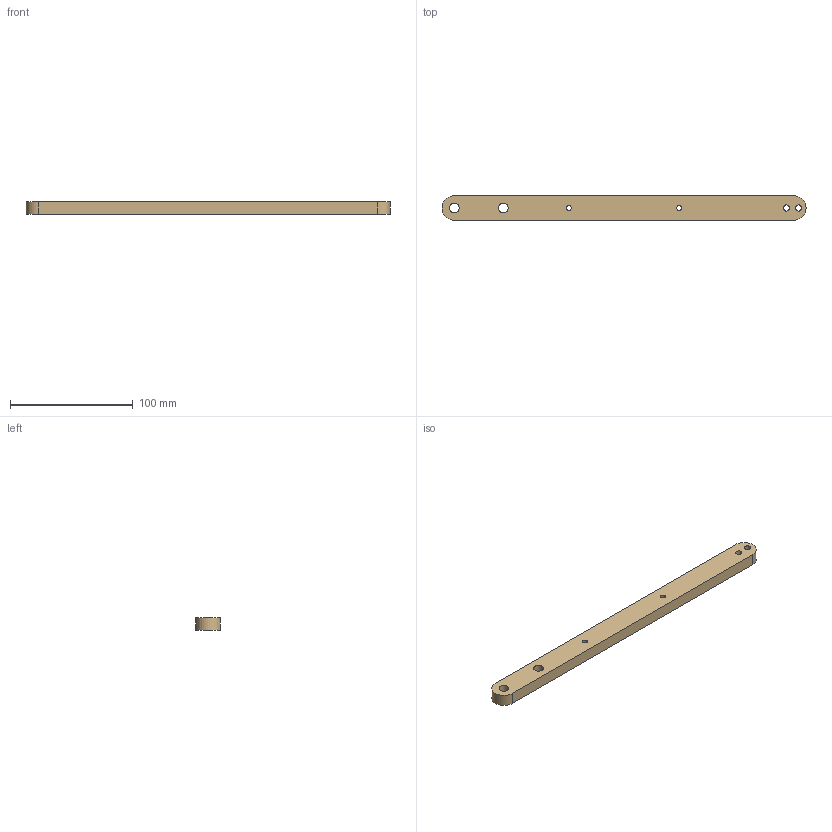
import cadquery as cq

length = 297.0
width = 20.0
thickness = 10.0
end_center_x = (length - width) / 2

large_diameter = 8.0
large_spacing = 40.0

small_diameter = 4.0
small_spacing = 90.0

medium_diameter = 5.0
medium_spacing = 10.0
medium_tip_distance = 6.0
medium_first_x = length / 2 - medium_tip_distance - medium_spacing


def make_bar():
    """Solid bar with straight sides and full-radius ends."""
    return cq.Workplane("XY").slot2D(length, width).extrude(thickness)


def cut_hole_pair(body, first_x, spacing, diameter):
    """Cut two through holes on the bar's centre line, the second one further along +X."""
    centers = [(first_x, 0), (first_x + spacing, 0)]
    holes = cq.Workplane("XY").pushPoints(centers).circle(diameter / 2).extrude(thickness)
    return body.cut(holes)


result = make_bar()
result = cut_hole_pair(result, -end_center_x, large_spacing, large_diameter)
result = cut_hole_pair(result, -small_spacing / 2, small_spacing, small_diameter)
result = cut_hole_pair(result, medium_first_x, medium_spacing, medium_diameter)